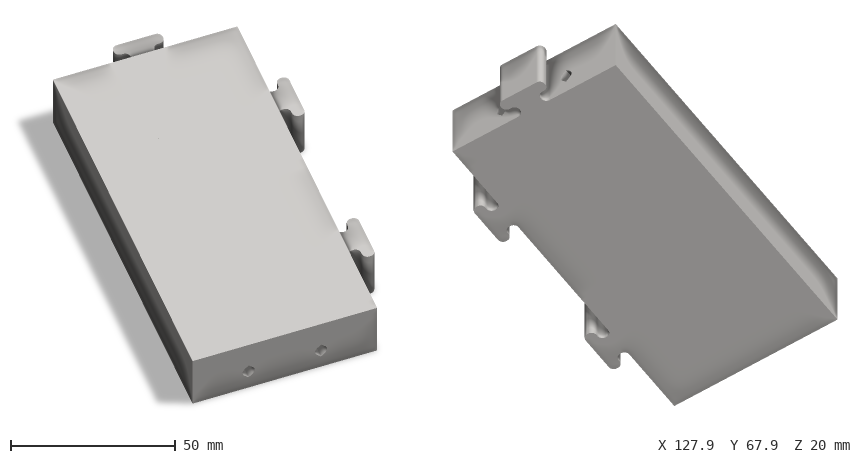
import cadquery as cq
import math

cell = 60.0
cell_count = 2
block_length = cell_count * cell
block_height = 20.0

tab_reach = 7.9
tab_height = 17.5
head_width = 16.1
head_thickness = 4.0
neck_width = 7.8
tab_rounding = 1.8

hole_diameter = 4.0
hole_spacing = 23.5
hole_level = 7.5

inlay_depth = 1.0
stroke_width = 3.1

serif_height = 2.3
serif_overhang = 2.7
h_top = 13.4
h_bottom = -11.9
h_stem_left = -7.7
h_leg_left = 3.5
h_spring_level = -0.1
h_arch_crown = (0.8, 5.8)
h_arch_root = 3.3
h_inner_crown = (-0.4, 3.5)
h_inner_root = 1.3

g_stem_right = 7.3
g_stem_left = 3.8
g_top = 5.6
g_ear_left = 4.5
g_ear_notch = (4.2, 3.2)
g_bowl_crown = (-0.9, 5.8)
g_bowl_left = (-7.8, -4.0)
g_bowl_foot = (-1.0, -12.4)
g_bowl_end_level = -10.2
g_hook_inner_level = -12.9
g_hook_inner_foot = (0.0, -16.2)
g_tail_upper = (-4.6, -15.4)
g_tail_lower = (-5.5, -17.7)
g_hook_foot = (-1.2, -19.0)
g_hook_outer_level = -11.8
g_counter_upper = 1.0
g_counter_crown = (-0.1, 3.3)
g_counter_left = (-4.7, -4.0)
g_counter_foot = (-0.1, -9.7)
g_counter_lower = -7.7

UP = (0, 1)
DOWN = (0, -1)
LEFT = (-1, 0)
RIGHT = (1, 0)
UP_LEFT = (-1, 1)
UP_RIGHT = (1, 1)
DOWN_LEFT = (-1, -1)


def cell_center_x(index):
    return (index + 0.5) * cell - block_length / 2


def make_tab():
    """Tab pointing along +Y from the origin: a rounded head on a neck that flares into the block."""
    head_underside = tab_reach - head_thickness
    head_x = head_width / 2
    neck_x = neck_width / 2
    r = tab_rounding
    return (
        cq.Workplane("XY")
        .lineTo(neck_x + r, 0)
        .radiusArc((neck_x, r), r)
        .lineTo(neck_x, head_underside - r)
        .radiusArc((neck_x + r, head_underside), r)
        .lineTo(head_x - r, head_underside)
        .radiusArc((head_x, head_underside + r), -r)
        .lineTo(head_x, tab_reach - r)
        .radiusArc((head_x - r, tab_reach), -r)
        .lineTo(0, tab_reach)
        .mirrorY()
        .extrude(tab_height)
    )


def make_hole(y):
    """Cutter for one hole: a circle whose 45-degree tangents meet in points above and below."""
    radius = hole_diameter / 2
    tip = radius * math.sqrt(2)
    tangent = radius / math.sqrt(2)
    return (
        cq.Workplane("YZ", origin=(-block_length / 2, y, hole_level))
        .moveTo(0, tip)
        .lineTo(tangent, tangent)
        .threePointArc((radius, 0), (tangent, -tangent))
        .lineTo(0, -tip)
        .lineTo(-tangent, -tangent)
        .threePointArc((-radius, 0), (-tangent, tangent))
        .close()
        .extrude(block_length)
    )


def inlay_plane(cell_index):
    """Floor of a letter recess, centred on the given cell."""
    floor_level = block_height - inlay_depth
    return cq.Workplane("XY", origin=(cell_center_x(cell_index), 0, floor_level))


def make_inlay_g():
    letter = (
        inlay_plane(0)
        .moveTo(g_stem_right, g_top)
        .lineTo(g_ear_left, g_top)
        .lineTo(*g_ear_notch)
        .spline([g_bowl_crown], tangents=[UP_LEFT, LEFT], includeCurrent=True)
        .spline([g_bowl_left], tangents=[LEFT, DOWN], includeCurrent=True)
        .spline([g_bowl_foot], tangents=[DOWN, RIGHT], includeCurrent=True)
        .spline([(g_stem_left, g_bowl_end_level)], tangents=[RIGHT, UP_RIGHT], includeCurrent=True)
        .lineTo(g_stem_left, g_hook_inner_level)
        .spline([g_hook_inner_foot], tangents=[DOWN, LEFT], includeCurrent=True)
        .lineTo(*g_tail_upper)
        .lineTo(*g_tail_lower)
        .lineTo(*g_hook_foot)
        .spline([(g_stem_right, g_hook_outer_level)], tangents=[RIGHT, UP], includeCurrent=True)
        .close()
        .extrude(inlay_depth)
    )
    counter = (
        inlay_plane(0)
        .moveTo(g_stem_left, g_counter_upper)
        .spline([g_counter_crown], tangents=[UP_LEFT, LEFT], includeCurrent=True)
        .spline([g_counter_left], tangents=[LEFT, DOWN], includeCurrent=True)
        .spline([g_counter_foot], tangents=[DOWN, RIGHT], includeCurrent=True)
        .spline([(g_stem_left, g_counter_lower)], tangents=[RIGHT, UP_RIGHT], includeCurrent=True)
        .close()
        .extrude(inlay_depth)
    )
    return letter.cut(counter)


def make_inlay_h():
    stem_right = h_stem_left + stroke_width
    leg_right = h_leg_left + stroke_width
    foot_top = h_bottom + serif_height
    return (
        inlay_plane(1)
        .moveTo(stem_right, h_top)
        .lineTo(h_stem_left - serif_overhang, h_top)
        .lineTo(h_stem_left - serif_overhang, h_top - serif_height)
        .lineTo(h_stem_left, h_top - serif_height)
        .lineTo(h_stem_left, foot_top)
        .lineTo(h_stem_left - serif_overhang, foot_top)
        .lineTo(h_stem_left - serif_overhang, h_bottom)
        .lineTo(stem_right + serif_overhang, h_bottom)
        .lineTo(stem_right + serif_overhang, foot_top)
        .lineTo(stem_right, foot_top)
        .lineTo(stem_right, h_inner_root)
        .spline([h_inner_crown], tangents=[UP_RIGHT, RIGHT], includeCurrent=True)
        .spline([(h_leg_left, h_spring_level)], tangents=[RIGHT, DOWN], includeCurrent=True)
        .lineTo(h_leg_left, foot_top)
        .lineTo(h_leg_left - serif_overhang, foot_top)
        .lineTo(h_leg_left - serif_overhang, h_bottom)
        .lineTo(leg_right + serif_overhang, h_bottom)
        .lineTo(leg_right + serif_overhang, foot_top)
        .lineTo(leg_right, foot_top)
        .lineTo(leg_right, h_spring_level)
        .spline([h_arch_crown], tangents=[UP, LEFT], includeCurrent=True)
        .spline([(stem_right, h_arch_root)], tangents=[LEFT, DOWN_LEFT], includeCurrent=True)
        .close()
        .extrude(inlay_depth)
    )


def make_block(inlays):
    """Block with its tabs, cut by the holes and by a matching recess for each inlay."""
    block = cq.Workplane("XY").box(block_length, cell, block_height, centered=(True, True, False))
    for index in range(cell_count):
        block = block.union(make_tab().translate((cell_center_x(index), cell / 2, 0)))
    end_tab = make_tab().rotate((0, 0, 0), (0, 0, 1), 90)
    block = block.union(end_tab.translate((-block_length / 2, 0, 0)))
    for side in (-1, 1):
        block = block.cut(make_hole(side * hole_spacing / 2))
    for inlay in inlays:
        block = block.cut(inlay)
    return block


inlay_g = make_inlay_g()
inlay_h = make_inlay_h()
block = make_block([inlay_g, inlay_h])

result = cq.Compound.makeCompound([block.solids().val(), inlay_g.solids().val(), inlay_h.solids().val()])